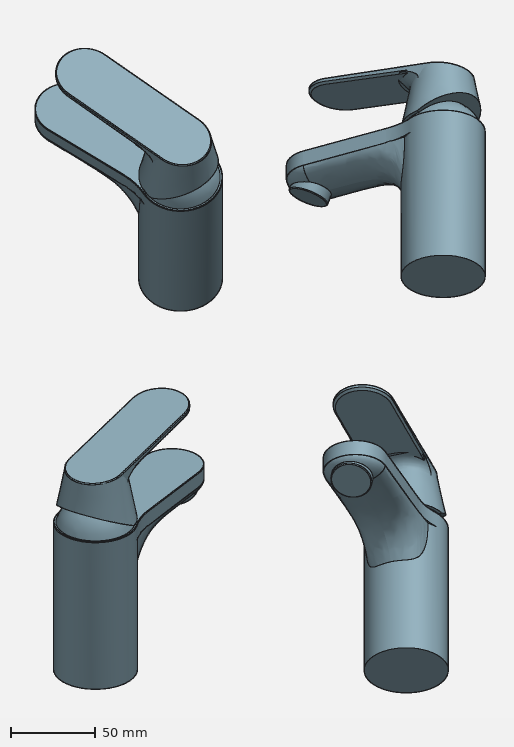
import cadquery as cq
import math

column_diameter = 50.0
column_radius = column_diameter / 2
body_top = 100.0
edge_break = 0.5

overall_length = 128.3
spout_half_width = 19.2
spout_tip_x = column_radius - overall_length
spout_end_x = spout_tip_x + spout_half_width
band_bottom = 89.9
neck_radius = 44.5
belly_half_width = 18.9
nose_depth = 9.7
belly_end_x = -14.9
belly_end_half_width = 19.9
belly_drop = 49.0
belly_power = 6
belly_sections = 12
belly_overlap = 0.3
quarter_pull = 4 / 3 * (math.sqrt(2) - 1)

outlet_radius = 12.3
outlet_x = -91.2
outlet_z = 79.3
outlet_length = 10.4
outlet_tilt = 24.0
outlet_chamfer = 0.6

dome_radius = 24.5
dome_center_z = 93.1
lever_bottom = 102.5

lever_base_radius = 24.8
lever_half_width = 18.4
lever_end_x = -69.7
lever_tip_x = lever_end_x - lever_half_width
lever_top = 148.5
lever_pitch = 7.0
plate_thickness = 5.0
tip_thickness = 3.5
plate_bevel = 1.3
lever_edge_break = 0.6
heel_z = 135.6
relief_start_x = -4.3
relief_end_x = 21.7
relief_end_z = 116.3
flare_bottom = 129.2
flare_top = 136.4
flare_radius = 26.7


def lever_top_z(x):
    """Height of the sloping lever top at a given x."""
    return lever_top - (x - lever_tip_x - lever_edge_break) * math.tan(math.radians(lever_pitch))


def cone_radius(z):
    """Radius of the tapered lever hub at a given height."""
    taper = (lever_base_radius - lever_half_width) / (heel_z - lever_bottom)
    return lever_base_radius - (z - lever_bottom) * taper


def make_body():
    """Column and flat-topped spout band, joined by concave necks in plan."""
    column = cq.Workplane("XY").circle(column_radius).extrude(body_top)
    neck_y = spout_half_width + neck_radius
    neck_reach = column_radius + neck_radius
    neck_x = -math.sqrt(neck_reach**2 - neck_y**2)
    touch_x = neck_x * column_radius / neck_reach
    touch_y = neck_y * column_radius / neck_reach
    middle_angle = (math.atan2(touch_y - neck_y, touch_x - neck_x) - math.pi / 2) / 2
    middle_x = neck_x + neck_radius * math.cos(middle_angle)
    middle_y = neck_y + neck_radius * math.sin(middle_angle)
    band = (
        cq.Workplane("XY", origin=(0, 0, band_bottom))
        .moveTo(spout_end_x, spout_half_width)
        .lineTo(neck_x, spout_half_width)
        .threePointArc((middle_x, middle_y), (touch_x, touch_y))
        .threePointArc((column_radius, 0), (touch_x, -touch_y))
        .threePointArc((middle_x, -middle_y), (neck_x, -spout_half_width))
        .lineTo(spout_end_x, -spout_half_width)
        .threePointArc((spout_tip_x, 0), (spout_end_x, spout_half_width))
        .close()
        .extrude(body_top - band_bottom)
    )
    return column.union(band).faces(">Z").edges().chamfer(edge_break)


def belly_section(x, half_width, depth, top):
    """Closed half-ellipse section across the spout, hanging down from its flat top."""
    side_pull = quarter_pull * half_width
    depth_pull = quarter_pull * depth
    outline = (
        cq.Workplane("YZ", origin=(x, 0, top))
        .bezier([(half_width, 0), (half_width, -depth_pull), (side_pull, -depth), (0, -depth)])
        .bezier([(0, -depth), (-side_pull, -depth), (-half_width, -depth_pull), (-half_width, 0)])
        .close()
    )
    return outline.val()


def make_belly():
    """Rounded underside of the spout, sweeping down into the column."""
    belly_top = band_bottom + belly_overlap
    wires = []
    for step in range(belly_sections + 1):
        advance = step / belly_sections
        x = spout_end_x + advance * (belly_end_x - spout_end_x)
        swell = advance**belly_power
        half_width = belly_half_width + swell * (belly_end_half_width - belly_half_width)
        depth = nose_depth + swell * belly_drop
        wires.append(belly_section(x, half_width, depth, belly_top))
    nose = (
        cq.Workplane("YZ", origin=(spout_end_x, 0, belly_top))
        .ellipseArc(belly_half_width, nose_depth, 270, 360, startAtCurrent=False)
        .lineTo(0, 0)
        .close()
        .revolve(180, (0, 0), (0, 1))
    )
    sweep = cq.Workplane(cq.Solid.makeLoft(wires))
    return nose, sweep


def make_outlet():
    """Tilted round outlet under the spout tip."""
    tilt = math.radians(outlet_tilt)
    axis = (math.sin(tilt), 0, math.cos(tilt))
    mouth = cq.Plane(origin=(outlet_x, 0, outlet_z), xDir=(0, 1, 0), normal=axis)
    outlet = cq.Workplane(mouth).circle(outlet_radius).extrude(outlet_length)
    return outlet.faces("<Z").edges().chamfer(outlet_chamfer)


def make_dome():
    """Spherical cartridge cover, hidden below the top of the body."""
    return cq.Workplane("XY", origin=(0, 0, dome_center_z)).sphere(dome_radius)


def side_prism(points, half_width):
    """Prism across y from an outline of (x, z) points."""
    return cq.Workplane("XZ").polyline(points).close().extrude(half_width, both=True)


def make_hub():
    """Tapered hub, cut by a slope just below the lever top and relieved underneath at the rear."""
    hub = (
        cq.Workplane("XZ")
        .moveTo(0, lever_bottom)
        .lineTo(lever_base_radius, lever_bottom)
        .lineTo(cone_radius(lever_top), lever_top)
        .lineTo(0, lever_top)
        .close()
        .revolve()
    )
    reach = 2 * lever_base_radius
    relief_slope = (relief_end_z - lever_bottom) / (relief_end_x - relief_start_x)
    keep = [
        (-reach, lever_bottom),
        (relief_start_x, lever_bottom),
        (column_radius, lever_bottom + (column_radius - relief_start_x) * relief_slope),
        (column_radius, lever_top_z(column_radius) - lever_edge_break),
        (-reach, lever_top_z(-reach) - lever_edge_break),
    ]
    return hub.intersect(side_prism(keep, reach))


def make_plate():
    """Sloping round-ended lever plate, thinning towards its tip."""
    plan = (
        cq.Workplane("XY", origin=(0, 0, body_top))
        .center(lever_end_x / 2, 0)
        .slot2D(2 * lever_half_width - lever_end_x, 2 * lever_half_width)
        .extrude(2 * (lever_top - body_top))
    )
    rear_x = lever_half_width
    profile = (
        cq.Workplane("XZ")
        .moveTo(rear_x, lever_top_z(rear_x))
        .lineTo(rear_x, lever_top_z(rear_x) - plate_thickness)
        .lineTo(lever_tip_x, lever_top_z(lever_tip_x) - tip_thickness)
        .lineTo(lever_tip_x, lever_top_z(lever_tip_x))
        .close()
        .extrude(lever_half_width, both=True)
    )
    plate = plan.intersect(profile)
    middle_x = lever_end_x / 2
    middle_thickness = (plate_thickness + tip_thickness) / 2
    underside = cq.selectors.NearestToPointSelector((middle_x, 0, lever_top_z(middle_x) - middle_thickness))
    top_face = cq.selectors.NearestToPointSelector((middle_x, 0, lever_top_z(middle_x)))
    plate = plate.faces(top_face).edges().chamfer(lever_edge_break)
    return plate.faces(underside).edges().chamfer(plate_bevel)


def make_flare():
    """Concave flare from the hub into the underside of the plate."""
    inner = cone_radius(flare_bottom)
    mid_x = inner + (flare_radius - inner) * (1 - math.sqrt(0.5))
    mid_z = flare_bottom + (flare_top - flare_bottom) * math.sqrt(0.5)
    flare = (
        cq.Workplane("XZ")
        .moveTo(0, flare_bottom)
        .lineTo(inner, flare_bottom)
        .threePointArc((mid_x, mid_z), (flare_radius, flare_top))
        .lineTo(0, flare_top)
        .close()
        .revolve()
    )
    front = cq.Workplane("XY").box(
        flare_radius, 2 * lever_half_width, lever_top, centered=(False, True, False)
    )
    return flare.intersect(front.translate((-flare_radius, 0, 0)))


lever = make_hub().union(make_plate()).union(make_flare())
nose, sweep = make_belly()
body = make_body().union(nose).union(sweep).union(make_outlet())
result = body.union(make_dome()).union(lever)